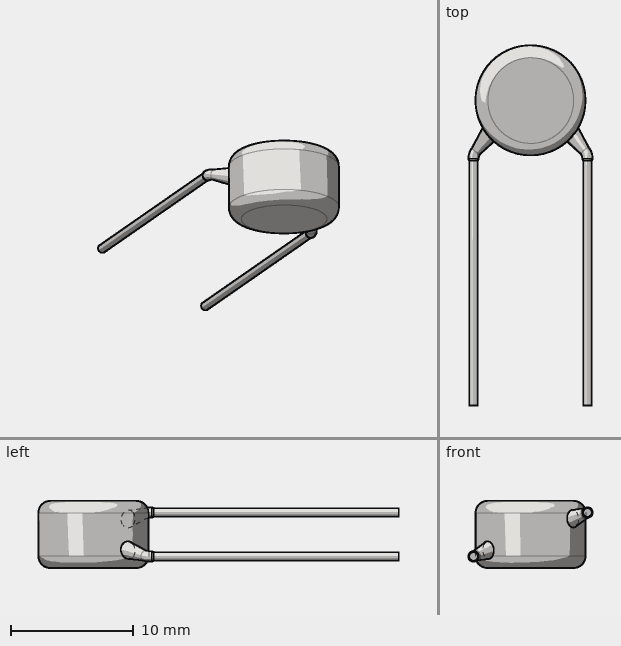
import cadquery as cq
import math

disc_diameter = 9.0
disc_height = 5.5
disc_edge_radius = 1.0

overall_length = 29.38
wire_diameter = 0.7
wire_spacing_x = 9.28
wire_spacing_z = 3.58
wire_end_y = disc_diameter / 2 - overall_length

sleeve_diameter = 0.85
tip_length = 0.18
elbow_end_y = -4.75
elbow_radius = 1.0
elbow_angle = 40.0
elbow_tilt = 22.0
cone_half_angle = 9.5
cone_length = 2.35

wire_start_y = elbow_end_y - tip_length


def make_disc():
    return (
        cq.Workplane("XY")
        .circle(disc_diameter / 2)
        .extrude(disc_height)
        .translate((0, 0, -disc_height / 2))
        .edges()
        .fillet(disc_edge_radius)
    )


def make_sleeve(side):
    """Sleeve on the +X (side = 1, upper) or -X (side = -1, lower) wire."""
    elbow_end = cq.Vector(side * wire_spacing_x / 2, elbow_end_y, side * wire_spacing_z / 2)
    along_wire = cq.Vector(0, -1, 0)
    tilt = math.radians(elbow_tilt)
    inward = cq.Vector(-side * math.cos(tilt), 0, -side * math.sin(tilt))

    tip = cq.Solid.makeCone(
        sleeve_diameter / 2, wire_diameter / 2, tip_length, elbow_end, along_wire
    )

    bend_centre = elbow_end + inward * elbow_radius
    elbow_plane = cq.Plane(origin=elbow_end, xDir=inward, normal=along_wire)
    elbow = (
        cq.Workplane(elbow_plane)
        .circle(sleeve_diameter / 2)
        .revolve(elbow_angle, (elbow_radius, 0.3, 0), (elbow_radius, -0.3, 0))
        .val()
    )

    bend = math.radians(elbow_angle)
    toward_centre = inward * math.cos(bend) + along_wire * math.sin(bend)
    elbow_start = bend_centre - toward_centre * elbow_radius
    toward_disc = inward * math.sin(bend) - along_wire * math.cos(bend)
    cone_root_radius = sleeve_diameter / 2 + cone_length * math.tan(math.radians(cone_half_angle))
    cone = cq.Solid.makeCone(
        sleeve_diameter / 2, cone_root_radius, cone_length, elbow_start, toward_disc
    )
    return cq.Workplane(cone).union(cq.Workplane(elbow)).union(cq.Workplane(tip))


def make_housing():
    housing = make_disc()
    for side in (1, -1):
        housing = housing.union(make_sleeve(side))
    return housing


def make_wire(side):
    """Wire from the tip of its sleeve to the free end."""
    start = cq.Vector(side * wire_spacing_x / 2, wire_start_y, side * wire_spacing_z / 2)
    return cq.Solid.makeCylinder(
        wire_diameter / 2, wire_start_y - wire_end_y, start, cq.Vector(0, -1, 0)
    )


housing = make_housing()
wires = [make_wire(side) for side in (1, -1)]

result = cq.Compound.makeCompound([*housing.solids().vals(), *wires])